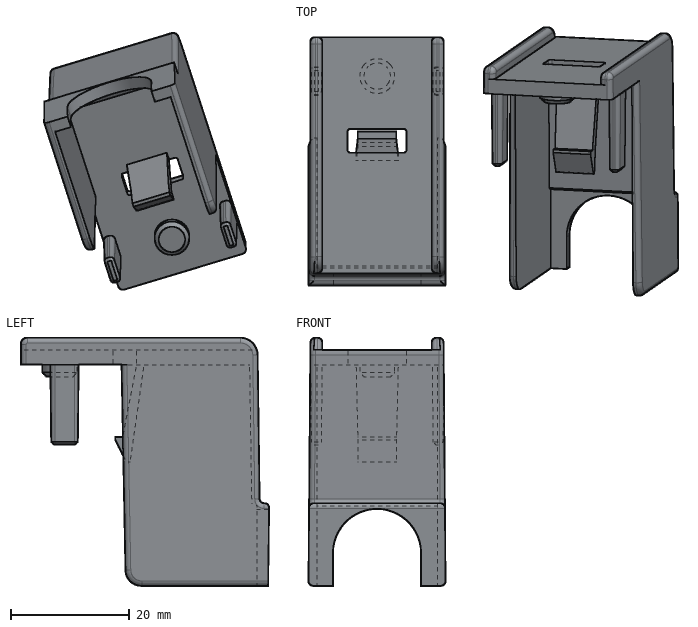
import cadquery as cq

length = 42.0
height = 42.0
width_bottom = 23.23
width_top = 22.55
top_z = height / 2
bottom_z = -height / 2
rear_y = length / 2
front_y = -length / 2

rail_height = 2.05
plate_thickness = 2.5
plate_top_z = top_z - rail_height
plate_bottom_z = plate_top_z - plate_thickness
upper_front_top_y = front_y + 1.97
upper_front_foot_y = front_y + 1.6
foot_z = -6.97
foot_bottom_y = front_y + 0.15
wall_rear_top_y = 4.0
wall_rear_bottom_y = 3.28
front_top_radius = 2.95
rear_top_radius = 1.1
foot_inner_radius = 0.7
foot_lip_radius = 0.85
wall_corner_radius = 2.77
edge_radius = 0.9

rail_width = 2.05
rail_inner_x = width_top / 2 - rail_width
side_wall = 1.4
front_wall = 1.4
foot_wall = 2.1
arch_half_width = 7.45
arch_top_z = -8.0

slot_width = 9.9
slot_front_y = 1.45
slot_rear_y = 5.45
slot_corner_radius = 0.4
tongue_root_width = 7.15
tongue_hook_width = 6.55
tongue_thickness = 1.25
tongue_rear_y = 3.82
tongue_bottom_z = 0.0
hook_top_z = 4.2
hook_lip = 0.5
hook_tip_y = 5.05

leg_center_x = 10.3
leg_center_y = 13.6
leg_size_x = 1.97
leg_size_y = 4.85
leg_bottom_z = 2.9
leg_corner_radius = 0.8
leg_tip_chamfer = 0.5
leg_draft = 0.6
boss_center_y = 14.45
boss_radius = 2.95
boss_bottom_z = 14.4
boss_chamfer = 0.7

overlap = 0.4
reach = 2 * length
match_tolerance = 0.2


def extrude_x(sketch, size):
    """Extrude a YZ outline evenly to both sides of the middle plane."""
    return sketch.extrude(size / 2, both=True)


def is_rounded(edge):
    """True for the side edges that are rounded: all but the plate underside and the foot front."""
    center = edge.Center()
    on_underside = abs(center.z - plate_bottom_z) < match_tolerance and center.y > wall_rear_top_y
    on_foot_front = center.y < foot_bottom_y and center.z < foot_z - match_tolerance
    return not (on_underside or on_foot_front)


def make_envelope():
    """Solid outer shape: side outline, leaning side faces and rounded outer edges."""
    outline = (
        cq.Workplane("YZ")
        .moveTo(rear_y, plate_bottom_z)
        .lineTo(rear_y, top_z)
        .lineTo(upper_front_top_y, top_z)
        .lineTo(upper_front_foot_y, foot_z)
        .lineTo(front_y, foot_z)
        .lineTo(front_y, foot_z - foot_lip_radius)
        .lineTo(foot_bottom_y, bottom_z)
        .lineTo(wall_rear_bottom_y, bottom_z)
        .lineTo(wall_rear_top_y, plate_bottom_z)
        .close()
    )
    body = extrude_x(outline, width_bottom)

    def round_corner(solid, y, z, radius):
        return solid.edges(cq.selectors.NearestToPointSelector((0, y, z))).fillet(radius)

    body = round_corner(body, rear_y, top_z, rear_top_radius)
    body = round_corner(body, upper_front_top_y, top_z, front_top_radius)
    body = round_corner(body, upper_front_foot_y, foot_z, foot_inner_radius)
    body = round_corner(body, wall_rear_bottom_y, bottom_z, wall_corner_radius)

    taper = (
        cq.Workplane("XZ")
        .polyline([
            (-width_bottom / 2, bottom_z),
            (width_bottom / 2, bottom_z),
            (width_top / 2, top_z),
            (-width_top / 2, top_z),
        ])
        .close()
        .extrude(length, both=True)
    )
    body = body.intersect(taper)
    body = body.faces("<X or >X").edges().filter(is_rounded).fillet(edge_radius)

    lip_waste = (
        cq.Workplane("YZ")
        .moveTo(front_y, foot_z)
        .lineTo(front_y + foot_lip_radius, foot_z)
        .radiusArc((front_y, foot_z - foot_lip_radius), -foot_lip_radius)
        .close()
    )
    return body.cut(extrude_x(lip_waste, reach))


def make_above_plate():
    """Everything above the plate; the rails are added back afterwards."""
    return (
        cq.Workplane("XY", origin=(0, 0, plate_top_z))
        .rect(reach, reach)
        .extrude(height)
    )


def make_rail_limit(side):
    """Slab that bounds one rail, with its inner edge rounded along the rear, top and front."""
    slab = (
        cq.Workplane("YZ")
        .moveTo(rear_y, plate_bottom_z)
        .lineTo(rear_y, top_z)
        .lineTo(upper_front_top_y, top_z)
        .lineTo(upper_front_top_y, plate_bottom_z)
        .close()
        .extrude(width_bottom / 2 - rail_inner_x)
    )
    slab = slab.edges("|X and >Y and >Z").fillet(rear_top_radius)
    slab = slab.edges("|X and <Y and >Z").fillet(front_top_radius)
    slab = slab.faces("<X").edges("not <Z").fillet(edge_radius)
    slab = slab.translate((rail_inner_x, 0, 0))
    return slab if side > 0 else slab.mirror("YZ")


def make_hollow():
    """Space between the side walls, open at the rear and below, thicker at the foot of the front wall."""
    outline = (
        cq.Workplane("YZ")
        .moveTo(reach, plate_bottom_z)
        .lineTo(upper_front_top_y + front_wall, plate_bottom_z)
        .lineTo(upper_front_foot_y + front_wall, foot_z)
        .lineTo(front_y + foot_wall, foot_z - overlap)
        .lineTo(front_y + foot_wall, bottom_z - overlap)
        .lineTo(reach, bottom_z - overlap)
        .close()
    )
    return extrude_x(outline, width_bottom - 2 * side_wall)


def make_arch():
    """Round-topped opening through the foot of the front wall."""
    spring_z = arch_top_z - arch_half_width
    return (
        cq.Workplane("XZ", origin=(0, front_y + foot_wall + overlap, 0))
        .moveTo(-arch_half_width, bottom_z - overlap)
        .lineTo(-arch_half_width, spring_z)
        .threePointArc((0, arch_top_z), (arch_half_width, spring_z))
        .lineTo(arch_half_width, bottom_z - overlap)
        .close()
        .extrude(foot_wall + 2 * overlap)
    )


def make_slot():
    """Rectangular window through the plate above the snap hook."""
    return (
        cq.Workplane("XY", origin=(0, (slot_front_y + slot_rear_y) / 2, plate_bottom_z - overlap))
        .rect(slot_width, slot_rear_y - slot_front_y)
        .extrude(top_z - plate_bottom_z)
        .edges("|Z")
        .fillet(slot_corner_radius)
    )


def make_tongue():
    """Sloping snap tongue that hangs from the plate and carries a rearward hook."""
    hook_bottom_z = hook_top_z - hook_lip
    side_outline = (
        cq.Workplane("YZ")
        .moveTo(slot_front_y, plate_bottom_z + overlap)
        .lineTo(slot_front_y, plate_bottom_z)
        .lineTo(tongue_rear_y, hook_top_z)
        .lineTo(hook_tip_y, hook_top_z)
        .lineTo(hook_tip_y, hook_bottom_z)
        .lineTo(tongue_rear_y - tongue_thickness / 2, tongue_bottom_z)
        .lineTo(tongue_rear_y - tongue_thickness, tongue_bottom_z)
        .lineTo(slot_front_y - tongue_thickness, plate_bottom_z)
        .lineTo(slot_front_y - tongue_thickness, plate_bottom_z + overlap)
        .close()
    )
    front_outline = (
        cq.Workplane("XZ")
        .polyline([
            (-tongue_root_width / 2, plate_bottom_z + overlap),
            (tongue_root_width / 2, plate_bottom_z + overlap),
            (tongue_hook_width / 2, hook_top_z),
            (tongue_hook_width / 2, tongue_bottom_z),
            (-tongue_hook_width / 2, tongue_bottom_z),
            (-tongue_hook_width / 2, hook_top_z),
        ])
        .close()
        .extrude(length, both=True)
    )
    return extrude_x(side_outline, tongue_root_width).intersect(front_outline)


def make_leg(side):
    """Slightly tapered leg with rounded corners and a chamfered tip."""
    return (
        cq.Workplane("XY", origin=(side * leg_center_x, leg_center_y, plate_bottom_z + overlap))
        .sketch()
        .rect(leg_size_x, leg_size_y)
        .vertices()
        .fillet(leg_corner_radius)
        .finalize()
        .extrude(leg_bottom_z - plate_bottom_z - overlap, taper=leg_draft)
        .faces("<Z")
        .chamfer(leg_tip_chamfer)
    )


def make_boss():
    """Short round boss under the plate, between the legs."""
    return (
        cq.Workplane("XY", origin=(0, boss_center_y, boss_bottom_z))
        .circle(boss_radius)
        .extrude(plate_bottom_z + overlap - boss_bottom_z)
        .faces("<Z")
        .chamfer(boss_chamfer)
    )


envelope = make_envelope()
result = envelope.cut(make_above_plate()).cut(make_hollow()).cut(make_arch()).cut(make_slot())
result = result.union(make_tongue()).union(make_boss())
for side in (-1, 1):
    result = result.union(envelope.intersect(make_rail_limit(side)))
    result = result.union(make_leg(side))